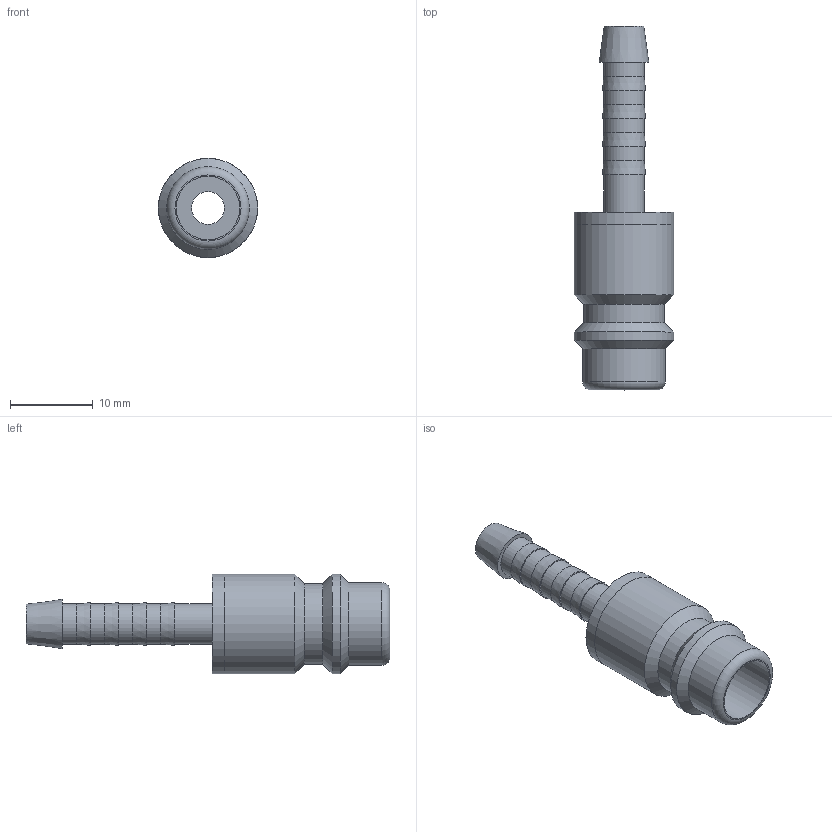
import cadquery as cq

total_length = 44.0

body_diameter = 12.0
collar_diameter = 12.01
plug_diameter = 10.0
neck_diameter = 9.7
plug_length = 5.0
rim_radius = 1.0
rib_start = 6.0
rib_width = 1.0
body_start = 11.5
collar_start = 20.0
body_end = 21.5

shank_diameter = 4.9
tip_end_diameter = 4.8
tip_crest_diameter = 6.0
tip_length = 4.4
barb_diameter = 5.2
barb_length = 1.7
barb_pitch = 2 * barb_length
barb_count = 4

plug_bore_diameter = 7.7
plug_bore_depth = collar_start
through_bore_diameter = 4.0

neck_flank_length = (body_diameter - neck_diameter) / 2


def cone(start, length, start_diameter, end_diameter):
    """Solid of revolution about Y whose diameter changes linearly along its length."""
    end = start + length
    return (
        cq.Workplane("XY")
        .moveTo(0, start)
        .lineTo(start_diameter / 2, start)
        .lineTo(end_diameter / 2, end)
        .lineTo(0, end)
        .close()
        .revolve(360, (0, 0, 0), (0, 1, 0))
    )


def cylinder(start, length, diameter):
    """Cylinder about Y."""
    return cone(start, length, diameter, diameter)


def make_body():
    """Plug with rounded rim, locking rib, neck groove, plain body and slightly larger end collar."""
    plug_radius = plug_diameter / 2
    neck_radius = neck_diameter / 2
    body_radius = body_diameter / 2
    collar_radius = collar_diameter / 2
    rib_end = rib_start + rib_width
    return (
        cq.Workplane("XY")
        .lineTo(plug_radius - rim_radius, 0)
        .radiusArc((plug_radius, rim_radius), -rim_radius)
        .lineTo(plug_radius, plug_length)
        .lineTo(body_radius, rib_start)
        .lineTo(body_radius, rib_end)
        .lineTo(neck_radius, rib_end + neck_flank_length)
        .lineTo(neck_radius, body_start - neck_flank_length)
        .lineTo(body_radius, body_start)
        .lineTo(body_radius, collar_start)
        .lineTo(collar_radius, collar_start)
        .lineTo(collar_radius, body_end)
        .lineTo(0, body_end)
        .close()
        .revolve(360, (0, 0, 0), (0, 1, 0))
    )


def make_hose_tail():
    """Shank with a tapered tip and a row of low barbs that widen toward the body."""
    tip_start = total_length - tip_length
    tail = cylinder(body_end, tip_start - body_end, shank_diameter)
    tail = tail.union(cone(tip_start, tip_length, tip_crest_diameter, tip_end_diameter))
    for index in range(1, barb_count + 1):
        barb_start = tip_start - index * barb_pitch
        tail = tail.union(cone(barb_start, barb_length, barb_diameter, shank_diameter))
    return tail


outside = make_body().union(make_hose_tail(), clean=False)
plug_bore = cylinder(0, plug_bore_depth, plug_bore_diameter)
through_bore = cylinder(0, total_length, through_bore_diameter)
result = outside.cut(plug_bore).cut(through_bore)